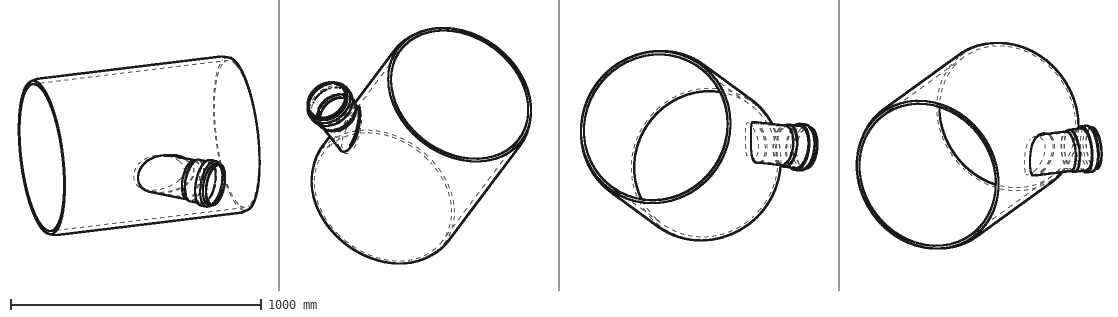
import cadquery as cq
import math

pipe_diameter = 630.0
pipe_bore = 592.0
pipe_length = 815.0
end_taper_length = 25.0
end_taper_depth = 7.0

branch_angle = 45
branch_diameter = 160.0
branch_bore = 150.0
branch_axis_x = 306.0
overall_width = 850.0

saddle_height = 7.0

socket_diameter = 170.0
socket_bore = 161.0
collar_diameter = 186.0
rim_diameter = 168.0
taper_length = 15.0
socket_length = 51.0
collar_length = 23.0
shoulder_length = 8.0
rim_length = 13.0

slope = math.radians(branch_angle)
mouth_x = overall_width - pipe_diameter / 2 - rim_diameter / 2 * math.sin(slope)
mouth = (mouth_x - branch_axis_x) / math.cos(slope)
rim_start = mouth - rim_length
collar_end = rim_start - shoulder_length
collar_start = collar_end - collar_length
socket_start = collar_start - socket_length
taper_start = socket_start - taper_length
inner_end = -branch_diameter


def main_cylinder(diameter):
    return cq.Workplane("XZ").circle(diameter / 2).extrude(pipe_length / 2, both=True)


def tapered_pipe():
    """Solid main pipe with a shallow outer taper at both ends."""
    radius = pipe_diameter / 2
    end_radius = radius - end_taper_depth
    half = pipe_length / 2
    shoulder = half - end_taper_length
    outline = [
        (0, -half),
        (end_radius, -half),
        (radius, -shoulder),
        (radius, shoulder),
        (end_radius, half),
        (0, half),
    ]
    return cq.Workplane("XY").polyline(outline).close().revolve(360, (0, 0), (0, 1))


def branch_solid(steps):
    """Revolve (distance, diameter) steps around the inclined branch axis."""
    axis = cq.Vector(math.cos(slope), math.sin(slope), 0)
    across = cq.Vector(math.sin(slope), -math.cos(slope), 0)
    plane = cq.Plane(origin=(branch_axis_x, 0, 0), xDir=axis, normal=across.cross(axis))
    outline = [(distance, diameter / 2) for distance, diameter in steps]
    outline = [(steps[0][0], 0)] + outline + [(steps[-1][0], 0)]
    return cq.Workplane(plane).polyline(outline).close().revolve(360, (0, 0), (1, 0))


def saddle():
    """Elliptical seat under the branch, following the curve of the main pipe."""
    top_x = pipe_diameter / 2 + saddle_height
    center_y = (top_x - branch_axis_x) * math.tan(slope)
    half_width = branch_diameter / 2
    half_length = half_width / math.cos(slope)
    seat = (
        cq.Workplane("YZ")
        .center(center_y, 0)
        .ellipse(half_length, half_width)
        .extrude(top_x)
    )
    return seat.intersect(main_cylinder(2 * top_x))


branch_outside = branch_solid([
    (inner_end, branch_diameter),
    (taper_start, branch_diameter),
    (socket_start, socket_diameter),
    (collar_start, socket_diameter),
    (collar_start, collar_diameter),
    (collar_end, collar_diameter),
    (rim_start, rim_diameter),
    (mouth, rim_diameter),
])
branch_inside = branch_solid([
    (inner_end, branch_bore),
    (taper_start, branch_bore),
    (socket_start, socket_bore),
    (mouth, socket_bore),
])

result = (
    tapered_pipe()
    .union(saddle())
    .union(branch_outside)
    .cut(main_cylinder(pipe_bore))
    .cut(branch_inside)
)